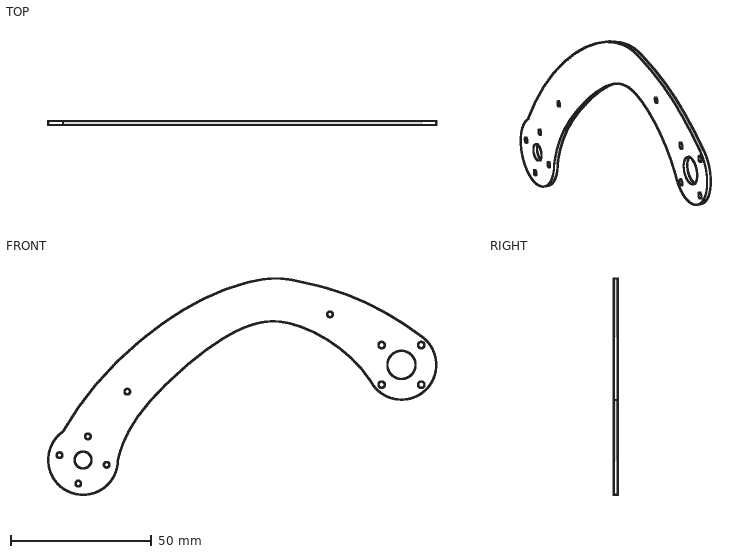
import cadquery as cq
import math

thickness = 1.5
overall_length = 138.5
end_radius = 12.5
right_x = overall_length - 2 * end_radius
right_z = 34.0

left_bore_diameter = 6.0
right_bore_diameter = 10.0
small_hole_diameter = 2.0
right_hole_diameter = 2.2

left_bolt_radius = 8.6
left_bolt_angle = 11.5
right_bolt_radius = 7.0 * math.sqrt(2)
right_bolt_angle = 45.0
arm_holes = [(15.8, 24.4), (88.1, 52.0)]

left_outer_angle = 125.0
left_inner_angle = 0.0
right_outer_angle = 54.5
right_inner_angle = 207.0

outer_edge = [
    (4.3, 26.6), (21.9, 43.8), (41.8, 57.0), (59.5, 63.6),
    (69.0, 64.8), (79.4, 63.3), (94.5, 58.9), (108.2, 52.4),
]
inner_edge = [
    (16.8, 11.1), (29.4, 26.7), (46.8, 41.3), (59.5, 48.0),
    (67.6, 49.5), (76.9, 47.8), (89.4, 41.4), (97.0, 35.0),
]


def polar_point(x, z, radius, angle):
    """Point at the given radius and angle in degrees about (x, z)."""
    radians = math.radians(angle)
    return (x + radius * math.cos(radians), z + radius * math.sin(radians))


def extrude_plate(sketch):
    """Extrude an XZ sketch to the plate thickness, centred on Y = 0."""
    return sketch.extrude(thickness / 2, both=True)


def disc(x, z, diameter):
    return extrude_plate(cq.Workplane("XZ").center(x, z).circle(diameter / 2))


def bolt_circle(x, z, radius, start_angle):
    """Centres of four evenly spaced holes around (x, z)."""
    return [polar_point(x, z, radius, start_angle + 90 * i) for i in range(4)]


def cut_holes(plate, centres, diameter):
    for x, z in centres:
        plate = plate.cut(disc(x, z, diameter))
    return plate


left_outer = polar_point(0, 0, end_radius, left_outer_angle)
left_inner = polar_point(0, 0, end_radius, left_inner_angle)
left_tip = polar_point(0, 0, end_radius, (left_outer_angle + left_inner_angle) / 2 + 180)
right_outer = polar_point(right_x, right_z, end_radius, right_outer_angle)
right_inner = polar_point(right_x, right_z, end_radius, right_inner_angle)
right_tip = polar_point(right_x, right_z, end_radius, (right_outer_angle + right_inner_angle) / 2 + 180)

plate = extrude_plate(
    cq.Workplane("XZ")
    .moveTo(*left_outer)
    .spline(outer_edge + [right_outer], includeCurrent=True)
    .threePointArc(right_tip, right_inner)
    .spline(inner_edge[::-1] + [left_inner], includeCurrent=True)
    .threePointArc(left_tip, left_outer)
    .close()
)

plate = cut_holes(plate, [(0, 0)], left_bore_diameter)
plate = cut_holes(plate, [(right_x, right_z)], right_bore_diameter)
left_bolts = bolt_circle(0, 0, left_bolt_radius, -left_bolt_angle)
right_bolts = bolt_circle(right_x, right_z, right_bolt_radius, right_bolt_angle)
plate = cut_holes(plate, left_bolts + arm_holes, small_hole_diameter)
plate = cut_holes(plate, right_bolts, right_hole_diameter)

result = plate